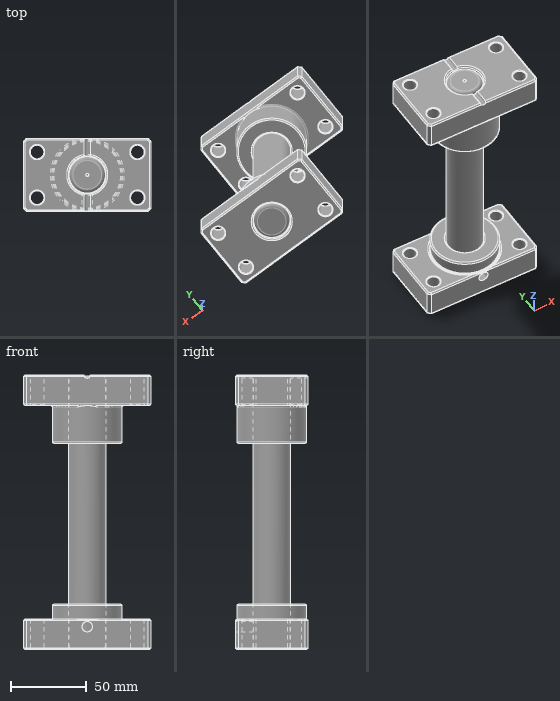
import cadquery as cq

plate_length = 84.0
plate_width = 48.0
plate_thickness = 20.0
corner_chamfer = 2.0
edge_chamfer = 1.0
overall_height = 180.46

screw_hole_dia = 9.0
screw_hole_chamfer = 0.5
screw_pitch_x = 66.0
screw_pitch_y = 30.0

boss_dia = 46.0
boss_radius = boss_dia / 2
boss_chamfer = 1.0
lower_boss_height = 10.0
upper_boss_height = 25.0
foot_fillet_radius = 1.0

relief_neck_radius = 22.5
relief_rim_radius = 24.3
relief_depth = 1.0

post_dia = 25.0
post_radius = post_dia / 2
post_length = 180.0
post_end_dia = 24.0
post_end_fillet = 2.5
center_point_dia = 2.0
center_point_depth = 1.7
bore_chamfer = 1.0

cross_hole_dia = 6.8
cross_hole_drop = 5.0
groove_radius = 2.0


def revolved(profile):
    """Closed XZ-plane profile turned once around the Z axis."""
    return profile.close().revolve(360, (0, 0, 0), (0, 1, 0))


def drilled_plate():
    """Chamfered plate on Z = 0 with four chamfered screw holes."""
    plate = (
        cq.Workplane("XY")
        .box(plate_length, plate_width, plate_thickness, centered=(True, True, False))
        .edges("|Z")
        .chamfer(corner_chamfer)
        .faces("<Z or >Z")
        .edges()
        .chamfer(edge_chamfer)
    )
    screw_holes = (
        cq.Workplane("XY")
        .rect(screw_pitch_x, screw_pitch_y, forConstruction=True)
        .vertices()
        .circle(screw_hole_dia / 2)
        .extrude(plate_thickness)
    )
    return plate.cut(screw_holes).edges("%CIRCLE").chamfer(screw_hole_chamfer)


def boss(height):
    """Round boss through the plate, chamfered at its free end."""
    return (
        cq.Workplane("XY")
        .circle(boss_radius)
        .extrude(plate_thickness + height)
        .faces(">Z")
        .edges()
        .chamfer(boss_chamfer)
    )


def bore(depth):
    """Cutter for the post bore, with a 45 degree countersink at both mouths."""
    mouth_radius = post_radius + bore_chamfer
    return revolved(
        cq.Workplane("XZ")
        .lineTo(mouth_radius, 0)
        .lineTo(post_radius, bore_chamfer)
        .lineTo(post_radius, depth - bore_chamfer)
        .lineTo(mouth_radius, depth)
        .lineTo(0, depth)
    )


def relief_groove():
    """Cutter for the groove around the boss foot: upright neck, 45 degree outer wall."""
    floor_z = plate_thickness - relief_depth
    return revolved(
        cq.Workplane("XZ")
        .moveTo(relief_neck_radius, plate_thickness)
        .lineTo(relief_neck_radius, floor_z)
        .lineTo(relief_rim_radius - relief_depth, floor_z)
        .lineTo(relief_rim_radius, plate_thickness)
    )


def foot_fillet():
    """Fillet ring at the boss foot, trimmed where the plate's long edge chamfers continue."""
    fillet_top = plate_thickness + foot_fillet_radius
    inner_radius = boss_radius - foot_fillet_radius
    ring = revolved(
        cq.Workplane("XZ")
        .moveTo(inner_radius, plate_thickness)
        .lineTo(boss_radius + foot_fillet_radius, plate_thickness)
        .radiusArc((boss_radius, fillet_top), foot_fillet_radius)
        .lineTo(inner_radius, fillet_top)
    )
    flat_half_width = plate_width / 2 - edge_chamfer
    top_half_width = flat_half_width - foot_fillet_radius
    chamfer_planes = (
        cq.Workplane("YZ")
        .moveTo(-flat_half_width, plate_thickness)
        .lineTo(flat_half_width, plate_thickness)
        .lineTo(top_half_width, fillet_top)
        .lineTo(-top_half_width, fillet_top)
        .close()
        .extrude(plate_length / 2, both=True)
    )
    return ring.intersect(chamfer_planes)


def build_lower_holder():
    """Lower plate with a short boss, relief groove and cross hole into the bore."""
    cross_hole = (
        cq.Workplane("XZ")
        .center(0, plate_thickness - cross_hole_drop)
        .circle(cross_hole_dia / 2)
        .extrude(plate_width / 2)
    )
    return (
        drilled_plate()
        .union(boss(lower_boss_height))
        .cut(relief_groove())
        .cut(bore(plate_thickness + lower_boss_height))
        .cut(cross_hole)
    )


def build_upper_holder():
    """Upper plate with a long filleted boss, turned over so the boss hangs down."""
    groove = (
        cq.Workplane("XZ")
        .circle(groove_radius)
        .extrude(plate_width / 2, both=True)
        .rotate((0, 0, 0), (0, 1, 0), 90)
    )
    body = (
        drilled_plate()
        .union(boss(upper_boss_height))
        .union(foot_fillet())
        .cut(bore(plate_thickness + upper_boss_height))
        .cut(groove)
    )
    return body.rotate((0, 0, 0), (1, 0, 0), 180).translate((0, 0, overall_height))


def build_post():
    """Guide post whose slimmer rounded ends lie inside the two plates."""
    core = (
        cq.Workplane("XY")
        .circle(post_end_dia / 2)
        .extrude(post_length)
        .faces("<Z or >Z")
        .edges()
        .fillet(post_end_fillet)
    )
    guide_length = overall_height - 2 * plate_thickness
    guide = cq.Workplane("XY", origin=(0, 0, plate_thickness)).circle(post_radius).extrude(guide_length)
    center_point = revolved(
        cq.Workplane("XZ")
        .moveTo(0, post_length)
        .lineTo(center_point_dia / 2, post_length)
        .lineTo(0, post_length - center_point_depth)
    )
    return core.union(guide).cut(center_point)


lower_holder = build_lower_holder()
upper_holder = build_upper_holder()
post = build_post()

bodies = [lower_holder, upper_holder, post]
result = cq.Compound.makeCompound([body.solids().val() for body in bodies])